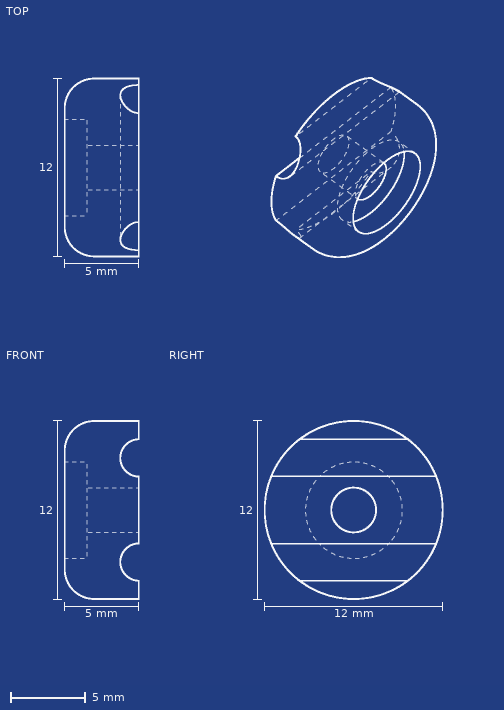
import cadquery as cq

outer_diameter = 12.0
thickness = 5.0
rim_radius = 2.0
bore_diameter = 3.0
counterbore_diameter = 6.5
counterbore_depth = 1.5
groove_diameter = 2.5
groove_offset = 3.5


def make_body():
    """Disc along X, with its -X rim rounded."""
    disc = cq.Workplane("YZ").circle(outer_diameter / 2).extrude(thickness)
    return disc.faces("<X").edges().fillet(rim_radius)


def make_bore():
    """Through hole with a counterbore sunk from the -X face."""
    hole = cq.Workplane("YZ").circle(bore_diameter / 2).extrude(thickness)
    recess = cq.Workplane("YZ").circle(counterbore_diameter / 2).extrude(counterbore_depth)
    return hole.union(recess)


def make_grooves():
    """Two parallel half-round grooves, centred on the +X face and running along Y."""
    return (
        cq.Workplane("XZ")
        .pushPoints([(thickness, side * groove_offset) for side in (-1, 1)])
        .circle(groove_diameter / 2)
        .extrude(outer_diameter / 2, both=True)
    )


result = make_body().cut(make_bore()).cut(make_grooves())